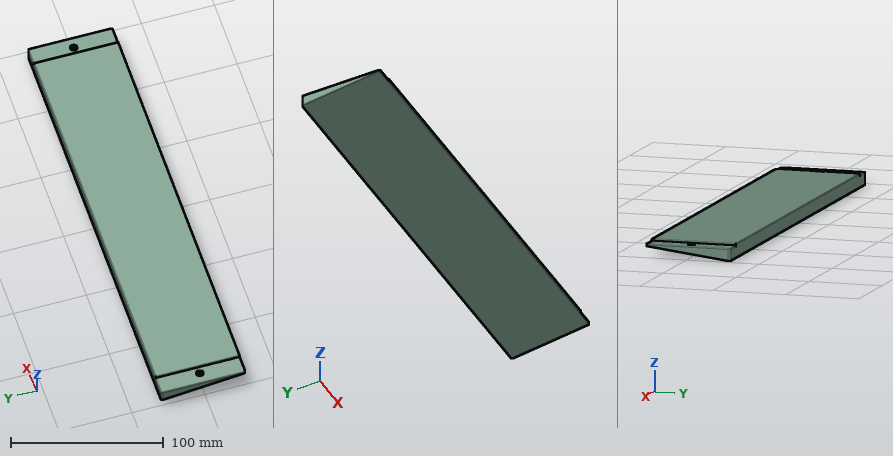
import cadquery as cq
import math

length = 292.8
width = 58.0
height = 9.7
thin_edge = 2.5
corner_radius = 1.5
top_radius = 0.5
underside_radius = 0.45

panel_length = 267.5
panel_step = 1.2

hole_spacing = 277.0
hole_diameter = 2.52
hole_depth = 1.8
tip_angle = 118
countersink_diameter = 4.7
countersink_angle = 90

ledge_length = (length - panel_length) / 2
ledge_top = height - panel_step


def wedge_body():
    """Wedge with a level top and an underside that rises toward -Y."""
    front = -width / 2
    back = width / 2
    slope = math.atan((height - thin_edge) / width)
    rounding_lift = underside_radius * (math.tan(slope) + 1 / math.cos(slope) - 1)
    profile = [
        (back, -rounding_lift),
        (back, height),
        (front, height),
        (front, height - thin_edge - rounding_lift),
    ]
    wedge = cq.Workplane("YZ").polyline(profile).close().extrude(length / 2, both=True)
    wedge = wedge.edges("|Z").fillet(corner_radius)
    return wedge.faces("<Z").edges().fillet(underside_radius)


def ledge_cutter(side):
    """Block that lowers one end of the top face (side is -1 or 1)."""
    center_x = side * (length - ledge_length) / 2
    block = cq.Workplane("XY", origin=(center_x, 0, ledge_top))
    return block.rect(ledge_length, width).extrude(panel_step)


def round_top_outlines(body):
    """Round the panel outline and the ledge outlines, leaving the inner step corners sharp."""
    panel_edges = body.faces(">Z").edges().vals()
    ledge_edges = body.faces("+Z").faces("<Z").edges()
    step_x = panel_length / 2
    outer_edges = ledge_edges.filter(lambda edge: abs(edge.Center().x) > step_x + top_radius)
    return body.newObject(panel_edges + outer_edges.vals()).fillet(top_radius)


def hole_cutter(side):
    """Revolved solid of one countersunk hole with a drill tip, opening at the ledge top."""
    bore = hole_diameter / 2
    rim = countersink_diameter / 2
    sink_depth = (rim - bore) / math.tan(math.radians(countersink_angle / 2))
    tip_depth = bore / math.tan(math.radians(tip_angle / 2))
    half_section = [
        (0, 0),
        (rim, 0),
        (bore, -sink_depth),
        (bore, -hole_depth),
        (0, -hole_depth - tip_depth),
    ]
    section = cq.Workplane("XZ", origin=(side * hole_spacing / 2, 0, ledge_top))
    return section.polyline(half_section).close().revolve(360, (0, 0, 0), (0, 1, 0))


ends = (-1, 1)

body = wedge_body()
for end in ends:
    body = body.cut(ledge_cutter(end))
body = round_top_outlines(body)
for end in ends:
    body = body.cut(hole_cutter(end))

result = body.solids()